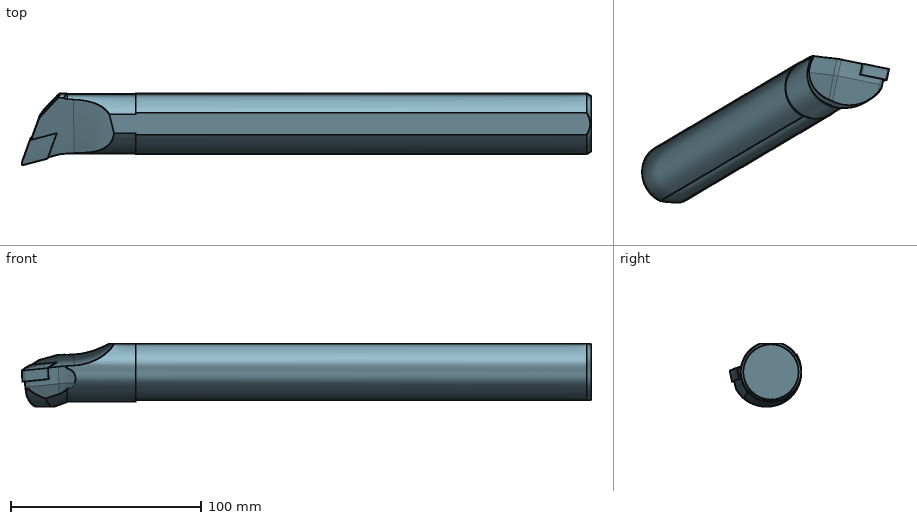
import cadquery as cq
import math

length = 299.5
shank_radius = 16.0
flat_height = 14.92
end_chamfer_length = 2.5
end_chamfer_depth = 1.5

neck_length = 60.0
neck_radius = 15.75
head_radius = 18.33
head_offset = head_radius - shank_radius
cone_end = 24.0
cone_angle = 20.0

rake_height = 5.25
rake_slope_x = 0.05
rake_slope_y = 0.21
rake_plane = cq.Plane(
    origin=(0, 0, rake_height),
    xDir=(1, 0, rake_slope_x),
    normal=(-rake_slope_x, -rake_slope_y, 1),
)

pocket_flat_end = 27.3
pocket_radius = 33.0
margin = 90.0

insert_side = 14.7
insert_thickness = 6.0
nose_radius = 0.8
side_angle = 15.0
front_angle = 70.0
nose_x = -0.75
nose_y = -22.62

wall_setback = 0.5
body_nose_radius = 1.5
corner_y = 3.3
bevel_angle = 47.0
corner_radius = 6.0
side_wall_end = 19.0
runout_radius = 15.0
upper_wall_depth = 9.0
lower_wall_draft = 5.0


def direction(angle):
    return cq.Vector(math.cos(math.radians(angle)), math.sin(math.radians(angle)), 0)


front_dir = direction(front_angle)
side_dir = direction(side_angle)
insert_corner = cq.Vector(nose_x, nose_y, 0)


def make_cylinder(radius, start, end, y=0.0):
    return cq.Workplane("YZ", origin=(start, y, 0)).circle(radius).extrude(end - start)


def make_shank():
    shank = make_cylinder(shank_radius, neck_length, length)
    chamfered = shank.faces(">X").chamfer(end_chamfer_length, end_chamfer_depth)
    flats = cq.Workplane("XY").box(2 * length, margin, 2 * flat_height)
    return chamfered.intersect(flats)


def make_head_stock():
    cone_front_radius = neck_radius + cone_end * math.tan(math.radians(cone_angle))
    cone = (
        cq.Workplane("XZ")
        .polyline([(0, 0), (0, cone_front_radius), (cone_end, neck_radius), (cone_end, 0)])
        .close()
        .revolve(360, (0, 0, 0), (1, 0, 0))
    )
    head = make_cylinder(head_radius, 0, cone_end, -head_offset).intersect(cone)
    stock = make_cylinder(neck_radius, 0, neck_length).union(head)
    top_trim = (
        cq.Workplane("XY", origin=(0, 0, flat_height))
        .rect(2 * margin, margin)
        .extrude(margin)
    )
    return stock.cut(top_trim)


def make_chip_pocket():
    profile_plane = cq.Plane(
        origin=rake_plane.origin, xDir=rake_plane.xDir, normal=-rake_plane.yDir
    )
    middle = direction(-45)
    arc_middle = (
        pocket_flat_end + pocket_radius * middle.x,
        pocket_radius + pocket_radius * middle.y,
    )
    return (
        cq.Workplane(profile_plane)
        .moveTo(-margin, 0)
        .lineTo(pocket_flat_end, 0)
        .threePointArc(arc_middle, (pocket_flat_end + pocket_radius, pocket_radius))
        .lineTo(-margin, pocket_radius)
        .close()
        .extrude(margin, both=True)
    )


def make_head_outline(workplane):
    """Outline of the head in the rake plane; it is open-ended towards the shank."""
    spread = math.sin(math.radians(front_angle - side_angle))
    nose = insert_corner + (front_dir + side_dir) * (wall_setback / spread)
    corner = nose + front_dir * ((corner_y - nose.y) / front_dir.y)
    bevel_dir = direction(bevel_angle)
    bevel_end = corner + bevel_dir * ((margin - corner.y) / bevel_dir.y)

    nose_half = math.radians(front_angle - side_angle) / 2
    nose_tangent = body_nose_radius / math.tan(nose_half)
    nose_middle = nose + direction((front_angle + side_angle) / 2) * (
        body_nose_radius / math.sin(nose_half) - body_nose_radius
    )
    turn_half = math.radians(front_angle - bevel_angle) / 2
    corner_tangent = corner_radius * math.tan(turn_half)
    corner_middle = corner + direction((front_angle + bevel_angle) / 2 - 90) * (
        corner_radius / math.cos(turn_half) - corner_radius
    )

    wall_end = nose + side_dir * ((side_wall_end - nose.x) / side_dir.x)
    center = wall_end + direction(side_angle - 90) * runout_radius
    runout_middle = center + direction((side_angle + 90) / 2) * runout_radius
    runout_end = center + direction(0) * runout_radius

    nose_side = nose + side_dir * nose_tangent
    nose_front = nose + front_dir * nose_tangent
    corner_front = corner - front_dir * corner_tangent
    corner_bevel = corner + bevel_dir * corner_tangent
    return (
        workplane.moveTo(nose_side.x, nose_side.y)
        .lineTo(wall_end.x, wall_end.y)
        .threePointArc((runout_middle.x, runout_middle.y), (runout_end.x, runout_end.y))
        .lineTo(runout_end.x, -margin)
        .lineTo(2 * margin, -margin)
        .lineTo(2 * margin, margin)
        .lineTo(bevel_end.x, bevel_end.y)
        .lineTo(corner_bevel.x, corner_bevel.y)
        .threePointArc((corner_middle.x, corner_middle.y), (corner_front.x, corner_front.y))
        .lineTo(nose_front.x, nose_front.y)
        .threePointArc((nose_middle.x, nose_middle.y), (nose_side.x, nose_side.y))
        .close()
    )


def make_head_envelope():
    straight = make_head_outline(
        cq.Workplane(rake_plane).workplane(offset=-upper_wall_depth)
    ).extrude(upper_wall_depth + margin)
    drafted = make_head_outline(
        cq.Workplane(rake_plane).workplane(offset=-upper_wall_depth)
    ).extrude(-head_radius * 2, taper=lower_wall_draft)
    return straight.union(drafted)


def make_insert():
    left = insert_corner + front_dir * insert_side
    right = insert_corner + side_dir * insert_side
    back = left + side_dir * insert_side
    prism = (
        cq.Workplane(rake_plane)
        .polyline([(p.x, p.y) for p in (insert_corner, right, back, left)])
        .close()
        .extrude(-insert_thickness)
    )
    along_normal = cq.selectors.ParallelDirSelector(rake_plane.zDir)
    return prism.edges(along_normal).edges("not >X").fillet(nose_radius)


def make_holder(insert):
    head = make_head_stock().cut(make_chip_pocket()).intersect(make_head_envelope())
    return head.union(make_shank()).cut(insert)


insert = make_insert()
holder = make_holder(insert)

result = cq.Compound.makeCompound([holder.val().Solids()[0], insert.val()])